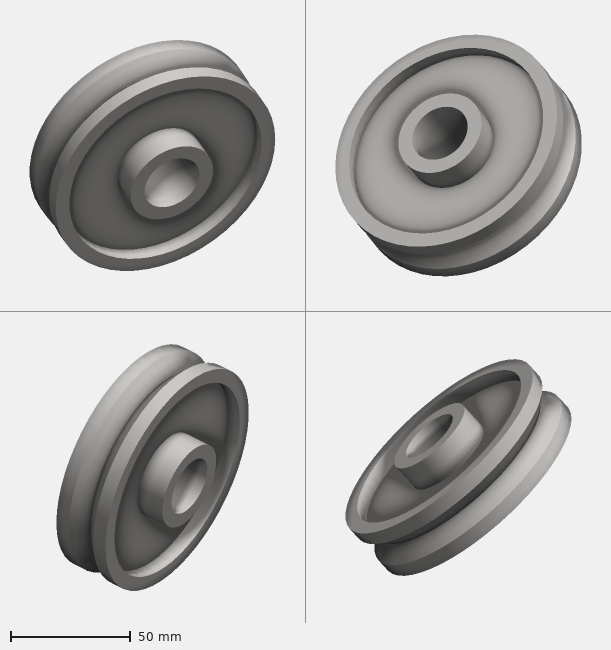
import cadquery as cq

outer_diameter = 101.6
rim_width = 25.4
hub_diameter = 38.1
hub_length = 38.1
bore_diameter = 25.4
groove_width = 12.7
web_thickness = 12.7

groove_depth = groove_width / 2
root_diameter = outer_diameter - 2 * groove_depth
recess_depth = (rim_width - web_thickness) / 2


def cylinder(diameter, length, start):
    """Solid cylinder along +X, beginning at x = start."""
    return cq.Workplane("YZ", origin=(start, 0, 0)).circle(diameter / 2).extrude(length)


def v_groove():
    """Triangular ring that cuts the groove around the rim."""
    outer_radius = outer_diameter / 2
    return (
        cq.Workplane("XY")
        .moveTo(-groove_width / 2, outer_radius)
        .lineTo(0, root_diameter / 2)
        .lineTo(groove_width / 2, outer_radius)
        .close()
        .revolve(360, (0, 0, 0), (1, 0, 0))
    )


wheel = cylinder(outer_diameter, rim_width, -rim_width / 2).cut(v_groove())
for recess_start in (-rim_width / 2, web_thickness / 2):
    wheel = wheel.cut(cylinder(root_diameter, recess_depth, recess_start))

hub = cylinder(hub_diameter, hub_length, -hub_length / 2)
bore = cylinder(bore_diameter, hub_length, -hub_length / 2)
result = wheel.union(hub).cut(bore)